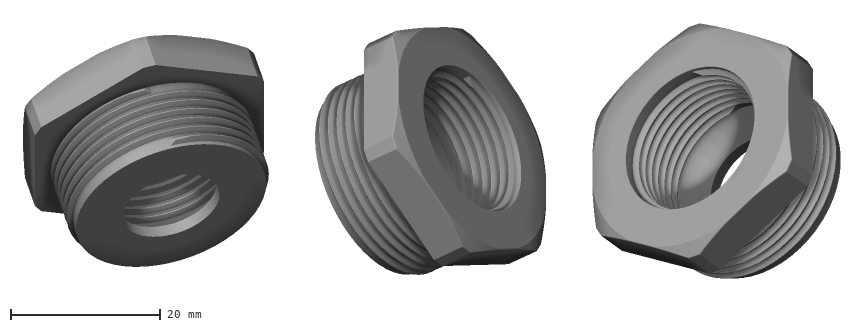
import cadquery as cq
import math

length = 16.4
hex_across_flats = 32.0
hex_across_corners = 35.9
head_length = 5.85
head_face_radius = 16.05
head_bevel_length = 0.95
front_edge_fillet = 0.18

spigot_radius = 26.55 / 2
bore_radius = 20.95 / 2
outlet_radius = 13.55 / 2
mouth_chamfer = 0.07
bore_depth = 12.2
cone_length = 2.5

pitch = 1.5
ridge_height = 0.72
ridge_base_width = 1.08
ridge_crest_width = 0.15
root_overlap = 0.1
outer_turns = 6
ridge_clearance = 0.05
outer_start = head_length + ridge_base_width / 2 + ridge_clearance
inner_turns = 7
inner_start = 1.08

ramp_length = 0.85
ramp_height = 0.5
runout_length = 2.15
runout_drop = 0.15

inner_ramp_length = 1.25


def hexagon(across_flats):
    """Hexagonal prism along X with flats facing +Y and -Y."""
    corner_diameter = across_flats / math.cos(math.pi / 6)
    prism = cq.Workplane("YZ").polygon(6, corner_diameter).extrude(head_length)
    return prism.rotate((0, 0, 0), (1, 0, 0), 30)


def make_head():
    corner_radius = hex_across_corners / 2
    corner_cutter = hexagon(hex_across_corners).rotate((0, 0, 0), (1, 0, 0), 30)
    envelope_radius = 1.1 * corner_radius
    bevel_slope = (corner_radius - head_face_radius) / head_bevel_length
    bevel_end = (envelope_radius - head_face_radius) / bevel_slope
    bevel_envelope = (
        cq.Workplane("XY")
        .polyline([
            (0, 0),
            (0, head_face_radius),
            (bevel_end, envelope_radius),
            (head_length, envelope_radius),
            (head_length, 0),
        ])
        .close()
        .revolve(360, (0, 0, 0), (1, 0, 0))
    )
    head = hexagon(hex_across_flats).intersect(corner_cutter).intersect(bevel_envelope)
    front_zone = cq.selectors.BoxSelector(
        (-head_length / 2, -hex_across_corners, -hex_across_corners),
        (head_length / 2, hex_across_corners, hex_across_corners),
    )
    return head.edges(front_zone).edges("not %CIRCLE").fillet(front_edge_fillet)


def make_spigot():
    return cq.Workplane("YZ").workplane(offset=head_length).circle(spigot_radius).extrude(length - head_length)


def make_bore():
    """Chamfered bore that narrows through a cone to the outlet."""
    return (
        cq.Workplane("XY")
        .polyline([
            (0, 0),
            (0, bore_radius + mouth_chamfer),
            (mouth_chamfer, bore_radius),
            (bore_depth, bore_radius),
            (bore_depth + cone_length, outlet_radius),
            (length, outlet_radius),
            (length, 0),
        ])
        .close()
        .revolve(360, (0, 0, 0), (1, 0, 0))
    )


def make_ridge(wall_radius, direction, start, turns):
    """Right-hand ridge starting at +Z; direction is +1 outward, -1 inward."""
    flank_slope = (ridge_base_width - ridge_crest_width) / 2 / ridge_height
    half_root = ridge_base_width / 2 + flank_slope * root_overlap
    half_crest = ridge_crest_width / 2
    root = wall_radius - direction * root_overlap
    crest = wall_radius + direction * ridge_height
    helix = cq.Wire.makeHelix(pitch, pitch * turns, wall_radius)
    ridge = (
        cq.Workplane("XZ")
        .polyline([(root, -half_root), (crest, -half_crest), (crest, half_crest), (root, half_root)])
        .close()
        .sweep(cq.Workplane(obj=helix), isFrenet=True)
    )
    ridge = ridge.rotate((0, 0, 0), (0, 0, 1), 180).rotate((0, 0, 0), (0, 1, 0), 90)
    return ridge.translate((start, 0, 0))


def trim_ends(ridge, outline, start, turns):
    """Cut an outline in the YZ plane, and its mirror image, from the two ridge ends."""
    for center, side in ((start, -1), (start + pitch * turns, 1)):
        points = [(side * y, z) for y, z in outline]
        cutter = cq.Workplane("YZ").workplane(offset=center - pitch / 2).polyline(points).close().extrude(pitch)
        ridge = ridge.cut(cutter)
    return ridge


def make_outer_thread():
    ridge = make_ridge(spigot_radius, 1, outer_start, outer_turns)
    shoulder = spigot_radius + ramp_height
    clear_height = spigot_radius + 2 * ridge_height
    runout_end = ramp_length + runout_length
    outline = [
        (0, spigot_radius),
        (ramp_length, shoulder),
        (runout_end, shoulder - runout_drop),
        (runout_end, clear_height),
        (0, clear_height),
    ]
    return trim_ends(ridge, outline, outer_start, outer_turns)


def make_inner_thread():
    ridge = make_ridge(bore_radius, -1, inner_start, inner_turns)
    overshoot = 1.2
    ramp_bottom = bore_radius - overshoot * ridge_height
    outline = [
        (0, bore_radius),
        (overshoot * inner_ramp_length, ramp_bottom),
        (0, ramp_bottom),
    ]
    return trim_ends(ridge, outline, inner_start, inner_turns)


body = make_head().union(make_spigot()).cut(make_bore())
result = body.union(make_outer_thread()).union(make_inner_thread())